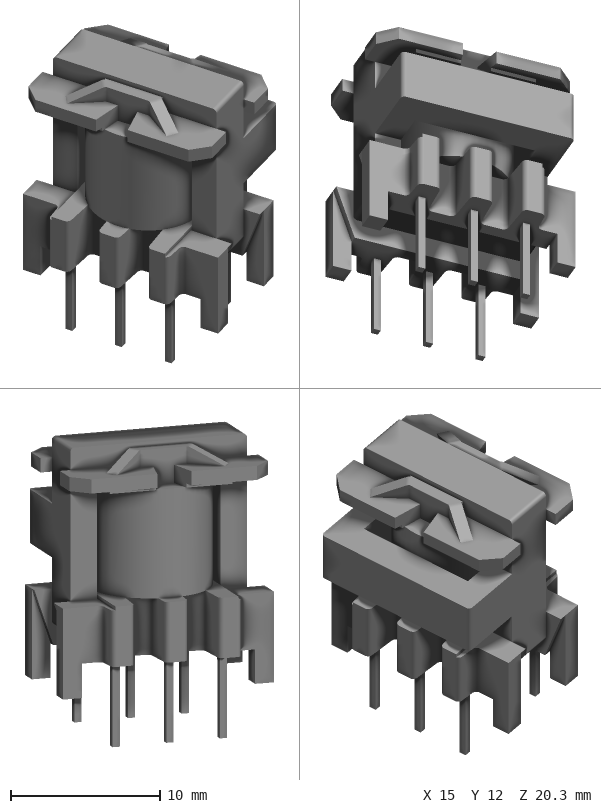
import cadquery as cq
import math

core_width = 12.59
core_depth = 3.71
core_half_height = 6.5
core_window_width = 8.81
core_corner_radius = 0.3
total_height = 20.3
seam_z = total_height - core_half_height

winding_diameter = 8.5
core_bar = core_half_height - winding_diameter / 2
winding_bottom = 10.03
winding_top = 17.54

barrel_diameter = 5.28
cheek_size = 8.73
cheek_clearance_y = 1.93
window_bottom = seam_z - core_half_height + core_bar
window_top = total_height - core_bar

flange_bottom = 17.82
flange_top = 18.8
flange_half_length = 7.06
flange_outer_y = 4.97
flange_corner_x = 5.89
flange_corner_y = 3.82
slot_half_width_outer = 1.22
slot_half_width_inner = 0.75

ridge_top = 20.0
ridge_outer_y = 2.82
ridge_inner_y = 1.99
ridge_half_length_outer = 1.65
arm_width = 0.9
arm_flat = 0.15
arm_length = 2.65
arm_crest_radius = 0.5
arm_angle = 34.5
ridge_end_slant = (ridge_outer_y - ridge_inner_y) * math.tan(math.radians(arm_angle))
ridge_half_length_inner = ridge_half_length_outer + ridge_end_slant

base_bottom = 5.87
rail_top = 9.75
rail_length = 15.0
rail_half_length = rail_length / 2
rail_outer_y = 3.8
tooth_tip_y = 5.5
tooth_tip_half_width = 0.8
tooth_draft = 0.06
tooth_gap_floor_y = 2.82
tooth_radius = 0.37
selector_margin = 0.2
foot_bottom = 3.5
foot_width = 1.34
foot_inner_y = 2.45

pin_pitch = 3.82
pin_row_y = pin_pitch
pin_size = 0.5


def block(x0, x1, y0, y1, z0, z1):
    """Axis-aligned box between two opposite corners."""
    return cq.Workplane("XY").box(x1 - x0, y1 - y0, z1 - z0, centered=False).translate((x0, y0, z0))


def core_half():
    """U core with its bar on top, mating face at Z = 0 and depth centred on Y = 0."""
    body = (
        cq.Workplane("XY")
        .box(core_width, core_depth, core_half_height, centered=(True, True, False))
        .edges("|Y and >Z")
        .fillet(core_corner_radius)
    )
    window = cq.Workplane("XY").box(
        core_window_width, core_depth, core_half_height - core_bar, centered=(True, True, False)
    )
    return body.cut(window)


def core_halves():
    """Upper and lower halves around the winding and a side half let into their legs."""
    placed = []
    for turn in (0, 180, -90):
        half = core_half().rotate((0, 0, 0), (1, 0, 0), turn)
        placed.append(half.translate((0, 0, seam_z)))
    upper, lower, side = placed
    return [upper.cut(side), lower.cut(side), side]


def barrel():
    return (
        cq.Workplane("XY")
        .workplane(offset=window_bottom)
        .circle(barrel_diameter / 2)
        .extrude(window_top - window_bottom)
    )


def winding():
    coil = (
        cq.Workplane("XY")
        .workplane(offset=winding_bottom)
        .circle(winding_diameter / 2)
        .extrude(winding_top - winding_bottom)
    )
    return coil.cut(barrel())


def ridge_arm():
    """Arm of the guide ridge: runs along +X from its start, then ramps down to the flange."""
    rise = ridge_top - flange_top
    return (
        cq.Workplane("XZ")
        .polyline([(0, 0), (arm_length, 0), (arm_flat, rise), (0, rise)])
        .close()
        .extrude(-arm_width)
        .edges("|Y")
        .edges(">Z")
        .edges(">X")
        .fillet(arm_crest_radius)
    )


def guide_ridge():
    """Ridge on the -Y flange with one splayed arm at each end."""
    ridge = (
        cq.Workplane("XY")
        .workplane(offset=flange_top)
        .polyline([
            (-ridge_half_length_outer, -ridge_outer_y),
            (ridge_half_length_outer, -ridge_outer_y),
            (ridge_half_length_inner, -ridge_inner_y),
            (-ridge_half_length_inner, -ridge_inner_y),
        ])
        .close()
        .extrude(ridge_top - flange_top)
    )
    arm = (
        ridge_arm()
        .rotate((0, 0, 0), (0, 0, 1), -arm_angle)
        .translate((ridge_half_length_outer, -ridge_outer_y, flange_top))
    )
    return ridge.union(arm).union(arm.mirror("YZ"))


def top_flange():
    """Top flange on the -Y side, slotted in the middle, with its cheek and ridge."""
    plate = (
        cq.Workplane("XY")
        .workplane(offset=flange_bottom)
        .polyline([
            (-flange_half_length, -cheek_clearance_y),
            (-flange_half_length, -flange_corner_y),
            (-flange_corner_x, -flange_outer_y),
            (flange_corner_x, -flange_outer_y),
            (flange_half_length, -flange_corner_y),
            (flange_half_length, -cheek_clearance_y),
        ])
        .close()
        .extrude(flange_top - flange_bottom)
    )
    cheek = block(
        -cheek_size / 2, cheek_size / 2, -cheek_size / 2, -cheek_clearance_y, winding_top, flange_top
    )
    slot = (
        cq.Workplane("XY")
        .workplane(offset=winding_top)
        .polyline([
            (-slot_half_width_outer, -flange_outer_y),
            (slot_half_width_outer, -flange_outer_y),
            (slot_half_width_inner, -ridge_outer_y),
            (-slot_half_width_inner, -ridge_outer_y),
        ])
        .close()
        .extrude(flange_top - winding_top)
    )
    return plate.union(cheek).cut(slot).union(guide_ridge())


def tooth_half_width(y):
    """Half width of a tooth at distance y from the XZ plane."""
    return tooth_tip_half_width + tooth_draft * (tooth_tip_y - y)


def rail_outline():
    """Plan of the -Y base rail: a straight bar with three tapered teeth and deep gaps between them."""
    tooth_roots = (
        (-pin_pitch, rail_outer_y, tooth_gap_floor_y),
        (0, tooth_gap_floor_y, tooth_gap_floor_y),
        (pin_pitch, tooth_gap_floor_y, rail_outer_y),
    )
    points = [(-rail_half_length, -cheek_clearance_y), (-rail_half_length, -rail_outer_y)]
    for x, left_root_y, right_root_y in tooth_roots:
        points += [
            (x - tooth_half_width(left_root_y), -left_root_y),
            (x - tooth_tip_half_width, -tooth_tip_y),
            (x + tooth_tip_half_width, -tooth_tip_y),
            (x + tooth_half_width(right_root_y), -right_root_y),
        ]
    points += [(rail_half_length, -rail_outer_y), (rail_half_length, -cheek_clearance_y)]
    return points


def foot():
    """Foot at the -X end of the -Y rail."""
    return block(
        -rail_half_length, -rail_half_length + foot_width,
        -rail_outer_y, -foot_inner_y, foot_bottom, rail_top,
    )


def rail_end_cut():
    """Wedge that slopes the -X end of the -Y rail beside the foot."""
    return (
        cq.Workplane("XZ", origin=(0, -cheek_clearance_y, 0))
        .polyline([
            (-rail_half_length, rail_top),
            (-rail_half_length, base_bottom),
            (-rail_half_length + foot_width, base_bottom),
        ])
        .close()
        .extrude(foot_inner_y - cheek_clearance_y)
    )


def base_rail():
    """Base rail on the -Y side with teeth, feet and pins."""
    tooth_zone = cq.selectors.BoxSelector(
        (-rail_half_length + foot_width, -tooth_tip_y - selector_margin, 0),
        (rail_half_length - foot_width, -tooth_gap_floor_y + selector_margin, total_height),
    )
    rail = (
        cq.Workplane("XY")
        .workplane(offset=base_bottom)
        .polyline(rail_outline())
        .close()
        .extrude(winding_bottom - base_bottom)
        .edges("|Z")
        .edges(tooth_zone)
        .fillet(tooth_radius)
    )
    for x0, x1 in ((-rail_half_length, -cheek_size / 2), (cheek_size / 2, rail_half_length)):
        rail = rail.cut(block(x0, x1, -tooth_tip_y, -cheek_clearance_y, rail_top, winding_bottom))
    rail = rail.cut(rail_end_cut()).cut(rail_end_cut().mirror("YZ"))
    rail = rail.union(foot()).union(foot().mirror("YZ"))
    for column in (-1, 0, 1):
        x = column * pin_pitch
        pin = block(
            x - pin_size / 2, x + pin_size / 2,
            -pin_row_y - pin_size / 2, -pin_row_y + pin_size / 2, 0, base_bottom,
        )
        rail = rail.union(pin)
    return rail


def bobbin():
    """Barrel, the webs inside the core window, and both mirrored pairs of flange and rail."""
    body = barrel()
    for z0, z1 in ((window_bottom, winding_bottom), (winding_top, window_top)):
        body = body.union(
            block(-cheek_size / 2, cheek_size / 2, -cheek_clearance_y, cheek_clearance_y, z0, z1)
        )
    side = top_flange().union(base_rail())
    return body.union(side).union(side.mirror("XZ"))


result = cq.Compound.makeCompound([
    bobbin().val(),
    winding().val(),
    *[half.val() for half in core_halves()],
])